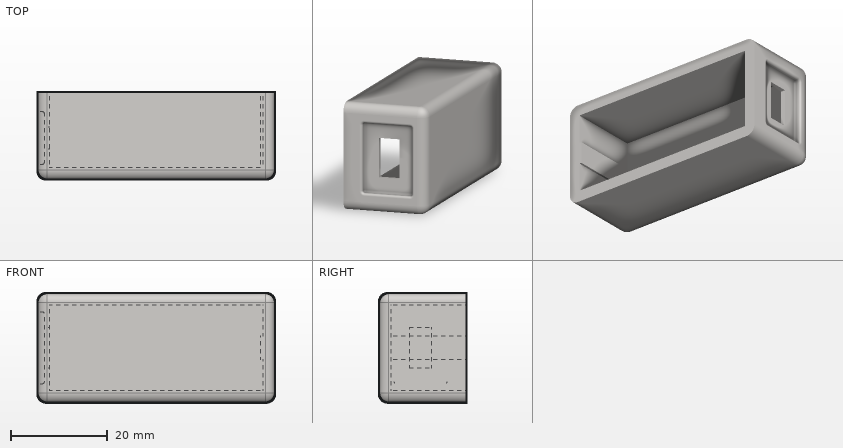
import cadquery as cq

length = 49.3
depth = 18.2
height = 22.8
edge_radius = 2.0
wall = 2.5

recess_width = 11.0
recess_height = 14.95
recess_depth = 1.5
recess_edge_radius = 0.5
recess_offset = 0.45

window_width = 4.6
window_height = 8.45

pad_height = 4.9
pad_thickness = 0.5


def make_shell():
    """Rounded box hollowed out from its flat back face."""
    box = cq.Workplane("XY").box(length, depth, height)
    box = box.edges("(not >Y)").fillet(edge_radius)
    cavity = (
        cq.Workplane("XY")
        .box(length - 2 * wall, depth - wall, height - 2 * wall)
        .translate((0, wall / 2, 0))
    )
    return box.cut(cavity)


def cut_recess(body):
    """Sink a recess with a rounded floor, then round over its rim."""
    end_x = -length / 2
    pocket = (
        cq.Workplane("XY")
        .box(recess_depth, recess_width, recess_height)
        .edges("(not <X)").fillet(recess_edge_radius)
        .translate((end_x + recess_depth / 2, -recess_offset, 0))
    )
    sunk = body.cut(pocket)
    rim = sunk.faces("<X").val().innerWires()[0]
    return sunk.newObject(rim.Edges()).fillet(recess_edge_radius)


def cut_window(body):
    """Open the recess floor into the cavity."""
    cutter = (
        cq.Workplane("XY")
        .box(2 * wall, window_width, window_height)
        .translate((-length / 2, -recess_offset, 0))
    )
    return body.cut(cutter)


def make_pad():
    """Pad running from the front wall to the open back."""
    return (
        cq.Workplane("XY")
        .box(pad_thickness, depth - wall, pad_height)
        .translate((length / 2 - wall - pad_thickness / 2, wall / 2, 0))
    )


result = cut_window(cut_recess(make_shell())).union(make_pad())